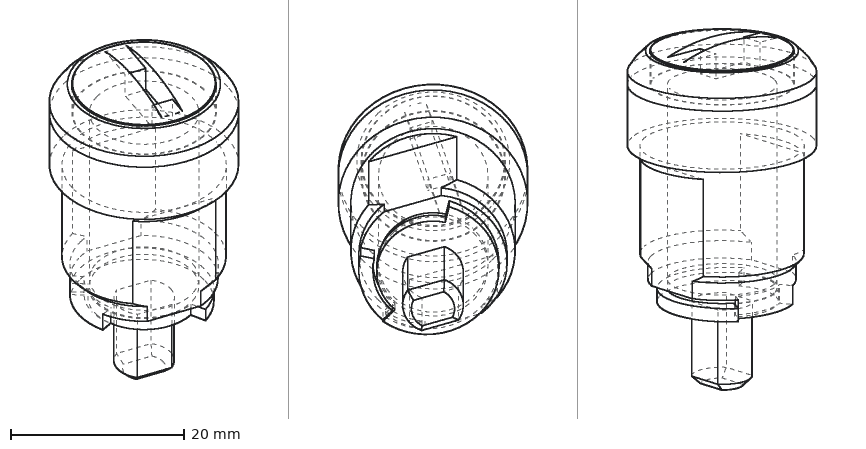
import cadquery as cq
import math


collar_radius = 10.95
collar_height = 7.4
barrel_radius = 9.5
barrel_depth = 13.05
nose_radius = 8.58
taper_depth = 1.0
nose_depth = 16.15
flat_half_width = 7.85
flat_start_depth = 1.35
lug_depth = 18.4
lug_inner_radius = 6.95
lug_start_angle = -120.0
lug_end_angle = -60.0

bezel_rim_height = 1.55
bezel_height = 4.0
bezel_top_radius = 8.85
bezel_bulge = 0.17

plug_radius = 8.25
plug_clearance = 0.1
dome_apex = 12.9
dome_sphere_radius = 25.5
slot_width = 2.7
slot_depth = 1.1
pocket_min_x = -2.2
pocket_max_x = 4.7
pocket_depth = 3.0

journal_radius = 6.33
hub_radius = 6.5
stop_thickness = 1.6
stop_radius = 8.37
stop_offset = 0.59
stop_start_angle = 30.0
shaft_radius = 3.5
shaft_flat_half_width = 2.7
shaft_length = 10.0
shaft_chamfer = 1.0
stop_bottom_depth = 18.8


def cylinder(radius, bottom, top):
    return cq.Workplane("XY").workplane(offset=bottom).circle(radius).extrude(top - bottom)


def sector(start_angle, end_angle, bottom, top):
    """Wedge from the axis, reaching beyond every body."""
    reach = 2 * collar_radius

    def rim_point(angle):
        return (reach * math.cos(math.radians(angle)), reach * math.sin(math.radians(angle)))

    return (
        cq.Workplane("XY").workplane(offset=bottom)
        .lineTo(*rim_point(start_angle))
        .threePointArc(rim_point((start_angle + end_angle) / 2), rim_point(end_angle))
        .close()
        .extrude(top - bottom)
    )


def make_housing():
    profile = [
        (journal_radius, collar_height),
        (collar_radius, collar_height),
        (collar_radius, 0),
        (barrel_radius, 0),
        (barrel_radius, -barrel_depth),
        (nose_radius, -barrel_depth - taper_depth),
        (nose_radius, -nose_depth),
        (journal_radius, -nose_depth),
    ]
    body = cq.Workplane("XZ").polyline(profile).close().revolve(360, (0, 0), (0, 1))

    flat_height = nose_depth - flat_start_depth
    flat_cut_depth = barrel_radius - flat_half_width
    for side in (-1, 1):
        flat_cutter = cq.Workplane("XY").box(flat_cut_depth, 2 * barrel_radius, flat_height).translate(
            (side * (flat_half_width + flat_cut_depth / 2), 0, -flat_start_depth - flat_height / 2)
        )
        body = body.cut(flat_cutter)

    lug = cylinder(nose_radius, -lug_depth, -nose_depth).cut(
        cylinder(lug_inner_radius, -lug_depth, -nose_depth)
    )
    lug = lug.intersect(sector(lug_start_angle, lug_end_angle, -lug_depth, -nose_depth))
    return body.union(lug)


def make_bezel():
    bore_radius = plug_radius + plug_clearance
    rim_top = collar_height + bezel_rim_height
    bezel_top = collar_height + bezel_height
    bevel_run = collar_radius - bezel_top_radius
    bevel_rise = bezel_top - rim_top
    bevel_length = math.hypot(bevel_run, bevel_rise)
    bevel_middle = (
        (collar_radius + bezel_top_radius) / 2 + bezel_bulge * bevel_rise / bevel_length,
        (rim_top + bezel_top) / 2 + bezel_bulge * bevel_run / bevel_length,
    )
    return (
        cq.Workplane("XZ")
        .moveTo(bore_radius, collar_height)
        .lineTo(collar_radius, collar_height)
        .lineTo(collar_radius, rim_top)
        .threePointArc(bevel_middle, (bezel_top_radius, bezel_top))
        .lineTo(bore_radius, bezel_top)
        .close()
        .revolve(360, (0, 0), (0, 1))
    )


def make_plug():
    dome = cq.Workplane("XY").sphere(dome_sphere_radius).translate(
        (0, 0, dome_apex - dome_sphere_radius)
    )
    plug = cylinder(plug_radius, collar_height, dome_apex).intersect(dome)
    slot_floor = dome_apex - slot_depth
    slot = (
        cq.Workplane("XY").workplane(offset=slot_floor)
        .rect(2 * plug_radius, slot_width)
        .extrude(slot_depth)
    )
    pocket = (
        cq.Workplane("XY").workplane(offset=slot_floor - pocket_depth)
        .center((pocket_min_x + pocket_max_x) / 2, 0)
        .rect(pocket_max_x - pocket_min_x, slot_width)
        .extrude(pocket_depth)
    )
    return plug.cut(slot).cut(pocket)


def make_shaft():
    """Round shaft with two flats, tapered at 45 degrees all round its lower end."""
    shaft_top = -stop_bottom_depth
    shaft_end = shaft_top - shaft_length
    round_shaft = cylinder(shaft_radius, shaft_end, shaft_top).faces("<Z").chamfer(shaft_chamfer)
    flats_block = (
        cq.Workplane("XY").workplane(offset=shaft_end)
        .rect(2 * shaft_flat_half_width, 2 * shaft_radius)
        .extrude(shaft_length)
        .faces("<Z").chamfer(shaft_chamfer)
    )
    return round_shaft.intersect(flats_block)


def make_spindle():
    stop_top = stop_thickness - stop_bottom_depth
    journal = cylinder(journal_radius, stop_top, collar_height)
    hub = cylinder(hub_radius, -stop_bottom_depth, stop_top)
    stop = cylinder(stop_radius, -stop_bottom_depth, stop_top).translate((stop_offset, -stop_offset, 0))
    stop = stop.intersect(
        sector(stop_start_angle, 360 + lug_start_angle, -stop_bottom_depth, stop_top)
    )
    return journal.union(hub).union(stop).union(make_shaft())


housing = make_housing()
bezel = make_bezel()
plug = make_plug()
spindle = make_spindle()

result = cq.Compound.makeCompound([housing.val(), bezel.val(), plug.val(), spindle.val()])